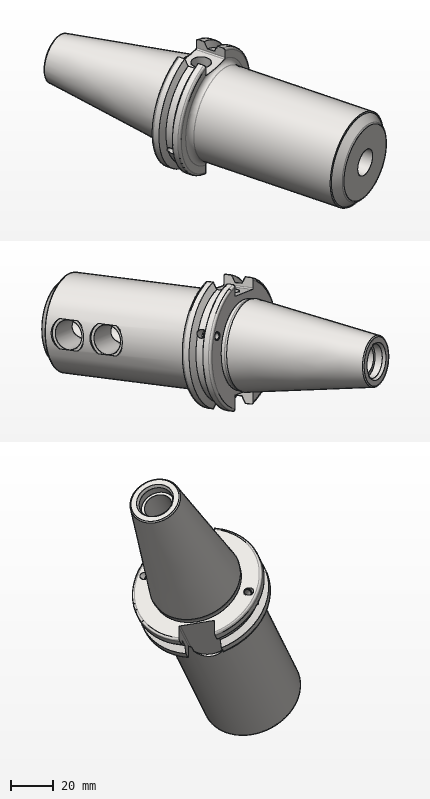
import cadquery as cq
import math

taper_length = 68.25
gauge_projection = 101.6
flange_start = 3.175
flange_end = 19.05

gauge_radius = 44.45 / 2
taper_ratio = 7 / 24
tip_radius = gauge_radius - taper_length * taper_ratio / 2
tip_chamfer = 0.55
relief_radius = 43.6 / 2
relief_start = 1.4

flange_radius = 63.5 / 2
flange_edge_radius = 1.2
groove_radius = 28.5
groove_center = 11.15
groove_floor_width = 3.7
groove_wall_angle = 30
groove_wall_run = (flange_radius - groove_radius) * math.tan(math.radians(groove_wall_angle))
groove_floor_start = groove_center - groove_floor_width / 2
groove_floor_end = groove_center + groove_floor_width / 2

body_radius = 47.75 / 2
neck_fillet = 2.8

nose_length = 4.6
shoulder_length = 0.25
shoulder_step = 0.7
edge_chamfer_length = 0.5
shoulder_start = gauge_projection - nose_length
shoulder_end = shoulder_start + shoulder_length
cone_end = gauge_projection - edge_chamfer_length
cone_end_radius = 19.7
nose_radius = 19.0

bore_diameter = 13.39
counterbore_diameter = 16.3
counterbore_depth = 5.4
counterbore_mouth_diameter = 18.0
counterbore_chamfer_length = 1.5

slot_width = 17.3
upper_slot_floor = 25.0
lower_slot_floor = 22.6
slot_corner_radius = 0.6
slot_lead_in = 1.0
slot_start = flange_start - slot_lead_in
slot_end = 29.5

recess_diameter = 9.53
recess_depth = 7.0
drill_point_angle = 118

coolant_angle = 20
coolant_radius = 27.0
inlet_diameter = 4.0
inlet_depth = 1.5
inlet_core_diameter = 3.24
inlet_core_depth = 8.0
inlet_tilt = 35
screw_diameter = 4.2
screw_depth = 5.0
screw_core_diameter = 3.24
screw_core_depth = 8.0
drill_lead_in = 3.0

clamp_hole_diameter = 14.35
clamp_hole_positions = (64.1, 85.0)
spotface_diameter = 17.5
spotface_depth = 1.15


def turned_body():
    """Revolve the taper, relief neck, grooved flange and body about X."""
    tip_end = -taper_length + tip_chamfer
    profile = (
        cq.Workplane("XY")
        .moveTo(-taper_length, 0)
        .lineTo(-taper_length, tip_radius - tip_chamfer)
        .lineTo(tip_end, tip_radius + tip_chamfer * taper_ratio / 2)
        .lineTo(0, gauge_radius)
        .lineTo(relief_start, relief_radius)
        .lineTo(flange_start, relief_radius)
        .lineTo(flange_start, flange_radius - flange_edge_radius)
        .radiusArc((flange_start + flange_edge_radius, flange_radius), flange_edge_radius)
        .lineTo(groove_floor_start - groove_wall_run, flange_radius)
        .lineTo(groove_floor_start, groove_radius)
        .lineTo(groove_floor_end, groove_radius)
        .lineTo(groove_floor_end + groove_wall_run, flange_radius)
        .lineTo(flange_end - flange_edge_radius, flange_radius)
        .radiusArc((flange_end, flange_radius - flange_edge_radius), flange_edge_radius)
        .lineTo(flange_end, body_radius + neck_fillet)
        .radiusArc((flange_end + neck_fillet, body_radius), -neck_fillet)
        .lineTo(shoulder_start, body_radius)
        .lineTo(shoulder_end, body_radius - shoulder_step)
        .lineTo(cone_end, cone_end_radius)
        .lineTo(gauge_projection, nose_radius)
        .lineTo(gauge_projection, 0)
        .close()
    )
    return profile.revolve(360, (0, 0, 0), (1, 0, 0))


def axial_bore():
    """Through bore with a chamfered counterbore at the taper tip."""
    bore_radius = bore_diameter / 2
    counterbore_radius = counterbore_diameter / 2
    profile = (
        cq.Workplane("XY")
        .moveTo(-taper_length, 0)
        .lineTo(-taper_length, counterbore_mouth_diameter / 2)
        .lineTo(-taper_length + counterbore_chamfer_length, counterbore_radius)
        .lineTo(-taper_length + counterbore_depth, counterbore_radius)
        .lineTo(-taper_length + counterbore_depth, bore_radius)
        .lineTo(gauge_projection, bore_radius)
        .lineTo(gauge_projection, 0)
        .close()
    )
    return profile.revolve(360, (0, 0, 0), (1, 0, 0))


def drive_slot(floor_height, side):
    """Slot along X with a rounded end, open outwards; side is +1 for +Z and -1 for -Z."""
    length = slot_end - slot_start
    height = flange_radius
    end_radius = slot_width / 2
    rounded_end = (
        cq.Workplane("XY")
        .moveTo(0, -end_radius)
        .lineTo(length - end_radius, -end_radius)
        .radiusArc((length - end_radius, end_radius), -end_radius)
        .lineTo(0, end_radius)
        .close()
        .extrude(height)
    )
    slot = (
        cq.Workplane("XY")
        .box(length, slot_width, height, centered=(False, True, False))
        .edges("|X and <Z")
        .fillet(slot_corner_radius)
        .intersect(rounded_end)
        .translate((slot_start, 0, floor_height))
    )
    if side < 0:
        slot = slot.rotate((0, 0, 0), (1, 0, 0), 180)
    return slot


def drilled_hole(start, direction, diameter, depth):
    """Blind hole with a conical drill point."""
    radius = diameter / 2
    point_depth = radius / math.tan(math.radians(drill_point_angle / 2))
    axis = cq.Vector(*direction).normalized()
    mouth = cq.Vector(*start)
    shaft = cq.Solid.makeCylinder(radius, depth, mouth, axis)
    point = cq.Solid.makeCone(radius, 0, point_depth, mouth + axis * depth, axis)
    return cq.Workplane(obj=shaft.fuse(point))


def coolant_holes():
    """Stepped tilted face hole and stepped radial screw hole, before rotation to position."""
    tilt = math.radians(inlet_tilt)
    inlet_start = (
        flange_start - drill_lead_in * math.cos(tilt),
        coolant_radius + drill_lead_in * math.sin(tilt),
        0,
    )
    inlet_direction = (math.cos(tilt), -math.sin(tilt), 0)
    mouth = drilled_hole(
        inlet_start, inlet_direction, inlet_diameter, drill_lead_in + inlet_depth)
    core = drilled_hole(
        inlet_start, inlet_direction, inlet_core_diameter, drill_lead_in + inlet_core_depth)
    screw_start = (groove_center, groove_radius + drill_lead_in, 0)
    inward = (0, -1, 0)
    screw_hole = drilled_hole(
        screw_start, inward, screw_diameter, drill_lead_in + screw_depth)
    screw_core = drilled_hole(
        screw_start, inward, screw_core_diameter, drill_lead_in + screw_core_depth)
    return mouth.union(core).union(screw_hole).union(screw_core)


def clamp_hole(position):
    """Spotfaced screw hole from the +Y side of the body into the axial bore."""
    outward = cq.Vector(0, 1, 0)
    hole = cq.Solid.makeCylinder(
        clamp_hole_diameter / 2, body_radius, cq.Vector(position, 0, 0), outward)
    spotface_floor = cq.Vector(position, body_radius - spotface_depth, 0)
    spotface = cq.Solid.makeCylinder(
        spotface_diameter / 2, 2 * spotface_depth, spotface_floor, outward)
    return cq.Workplane(obj=hole.fuse(spotface))


holder = turned_body().cut(axial_bore())
holder = holder.cut(drive_slot(upper_slot_floor, 1))
holder = holder.cut(drive_slot(lower_slot_floor, -1))
holder = holder.cut(
    drilled_hole((groove_center, 0, upper_slot_floor), (0, 0, -1), recess_diameter, recess_depth))
for turn in (0, 180):
    holder = holder.cut(coolant_holes().rotate((0, 0, 0), (1, 0, 0), coolant_angle + turn))
for position in clamp_hole_positions:
    holder = holder.cut(clamp_hole(position))
result = holder.solids()